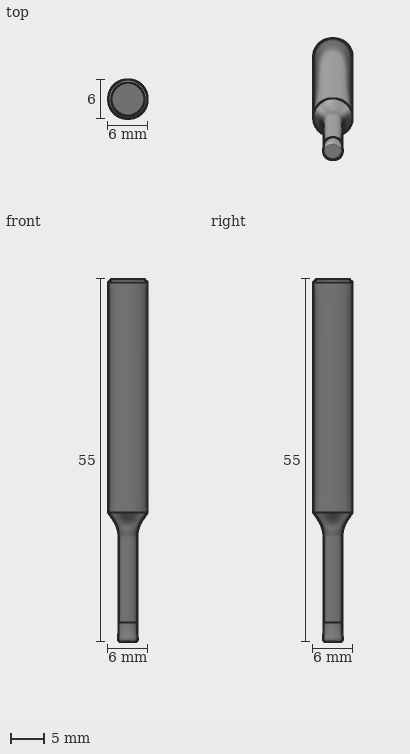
import cadquery as cq
import math

overall_length = 55.0

shank_radius = 6.0 / 2
shank_chamfer = 0.5

neck_radius = 2.85 / 2
neck_top = 16.0
flare_radius = 4.5
flare_angle = math.radians(35)

head_radius = 3.0 / 2
head_length = 3.0
corner_radius = 0.5


def arc_point(center, radius, angle):
    """Point on a circle in the (radius, height) profile plane."""
    return (center[0] + radius * math.cos(angle), center[1] + radius * math.sin(angle))


def make_shank():
    """Shank, conical shoulder, concave flare and neck as one turned body."""
    flare_center = (neck_radius + flare_radius, neck_top)
    flare_middle = arc_point(flare_center, flare_radius, math.pi - flare_angle / 2)
    flare_end = arc_point(flare_center, flare_radius, math.pi - flare_angle)
    shoulder_height = (shank_radius - flare_end[0]) / math.tan(flare_angle)
    shoulder_top = flare_end[1] + shoulder_height

    profile = (
        cq.Workplane("XZ")
        .moveTo(0, head_length)
        .lineTo(neck_radius, head_length)
        .lineTo(neck_radius, neck_top)
        .threePointArc(flare_middle, flare_end)
        .lineTo(shank_radius, shoulder_top)
        .lineTo(shank_radius, overall_length - shank_chamfer)
        .lineTo(shank_radius - shank_chamfer, overall_length)
        .lineTo(0, overall_length)
        .close()
    )
    return profile.revolve(360, (0, 0, 0), (0, 1, 0))


def make_head():
    """Head with a rounded corner and a side that curves in to meet the neck."""
    corner_center = (head_radius - corner_radius, corner_radius)
    corner_middle = arc_point(corner_center, corner_radius, -math.pi / 4)

    side_height = head_length - corner_radius
    side_step = head_radius - neck_radius
    side_radius = (side_height**2 + side_step**2) / (2 * side_step)
    side_center = (neck_radius + side_radius, head_length)
    side_angle = math.asin(side_height / side_radius)
    side_middle = arc_point(side_center, side_radius, math.pi + side_angle / 2)

    profile = (
        cq.Workplane("XZ")
        .moveTo(0, 0)
        .lineTo(head_radius - corner_radius, 0)
        .threePointArc(corner_middle, (head_radius, corner_radius))
        .threePointArc(side_middle, (neck_radius, head_length))
        .lineTo(0, head_length)
        .close()
    )
    return profile.revolve(360, (0, 0, 0), (0, 1, 0))


shank = make_shank()
head = make_head()

result = cq.Compound.makeCompound([shank.val(), head.val()])